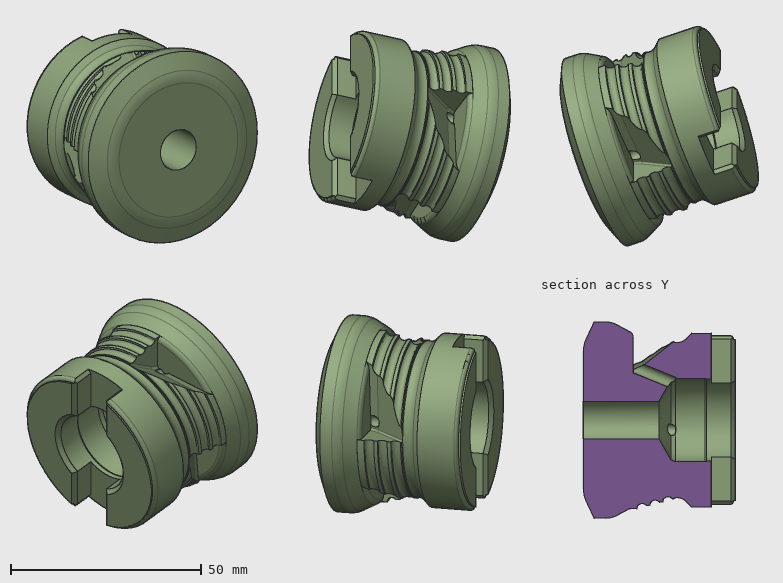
import cadquery as cq
import math


shank_radius = 23.0
face_radius = 22.0
face_step = 0.5
rim_round = shank_radius - face_radius
shank_end = 11.5

taper_end_x = 13.0
taper_end_radius = 21.5
neck_radius = 20.7
neck_mid_x = 14.5
neck_end_x = 16.0

groove_count = 3
groove_start_x = 16.55
groove_start_radius = 20.85
first_land = 0.3
groove_pitch = 3.4
groove_rise = 0.89
groove_width = 2.35
groove_end_rise = 0.3
groove_low_offset = 1.0
groove_low_drop = 0.5
step_run = 0.1
step_rise = 0.8
band_radius = 23.45

total_length = 39.94
crown_radius = 25.98
crown_wall_x = 26.75
crown_corner_radius = 1.8
flank_end_x = 31.2
flank_angle = 28.0
flank_start_x = crown_wall_x + crown_corner_radius * (1 - math.sin(math.radians(flank_angle)))
crown_wall_radius = band_radius - crown_corner_radius * math.cos(math.radians(flank_angle))
rim_end_x = 37.1
core_end_x = flank_start_x + 1.0
bevel_end_x = 39.25
bevel_end_radius = 21.4
front_radius = 18.2
bevel_round_mid = (39.76, 19.9)

bore_radius = 22.0 / 2
relief_radius = 22.3 / 2
bore_chamfer = 1.1
relief_start_x = 7.6
relief_taper = 0.3
relief_end_x = 15.75
seat_radius = 10.65
cone_start_x = 16.9
screw_radius = 11.0 / 2
drill_point_angle = 118.0
cone_length = (seat_radius - screw_radius) / math.tan(math.radians(drill_point_angle / 2))

slot_width = 10.3
slot_depth = 6.3
slot_chamfer = 1.1
flare_start_z = 21.25

pocket_count = 4
pocket_start_x = 16.1
pocket_end_x = 27.9
floor_start = 20.45
floor_kink_x = 24.3
floor_kink = 14.05
floor_second_slope = 0.5
floor_tilt = 5.1
wall_start_z = 0.6
wall_slope = 0.054
pocket_round = 0.5

coolant_diameter = 3.0
coolant_x = 25.4
coolant_y = -(floor_kink - floor_second_slope * (coolant_x - floor_kink_x))
coolant_z = -2.5
coolant_angle = 22.0
coolant_outside = 2.0
coolant_inside = 10.0

clearance = 30.0


def make_shank_and_cone():
    """Solid of revolution from the arbor face to the inside of the crown."""
    profile = (
        cq.Workplane("XY")
        .moveTo(0, 0)
        .lineTo(0, face_radius)
        .lineTo(face_step, face_radius)
        .radiusArc((face_step + rim_round, shank_radius), rim_round)
        .lineTo(shank_end, shank_radius)
        .lineTo(taper_end_x, taper_end_radius)
        .threePointArc((neck_mid_x, neck_radius), (neck_end_x, neck_radius))
        .lineTo(groove_start_x - first_land, groove_start_radius)
    )
    for i in range(groove_count):
        x = groove_start_x + i * groove_pitch
        r = groove_start_radius + i * groove_rise
        profile = (
            profile.lineTo(x, r)
            .threePointArc(
                (x + groove_low_offset, r - groove_low_drop),
                (x + groove_width, r + groove_end_rise),
            )
            .lineTo(x + groove_width + step_run, r + step_rise)
        )
    profile = (
        profile.lineTo(core_end_x, band_radius)
        .lineTo(core_end_x, 0)
        .close()
    )
    return profile.revolve(360, (0, 0, 0), (1, 0, 0))


def make_crown():
    """Full ring of revolution swept by the cutting edges."""
    flank_run = flank_end_x - flank_start_x
    flank_end_radius = band_radius + flank_run * math.tan(math.radians(flank_angle))
    rim_arc_radius = (crown_radius - flank_end_radius) / (1 - math.cos(math.radians(flank_angle)))
    rim_start_x = flank_end_x + rim_arc_radius * math.sin(math.radians(flank_angle))
    return (
        cq.Workplane("XY")
        .moveTo(crown_wall_x, 0)
        .lineTo(crown_wall_x, crown_wall_radius)
        .radiusArc((flank_start_x, band_radius), crown_corner_radius)
        .lineTo(flank_end_x, flank_end_radius)
        .tangentArcPoint((rim_start_x, crown_radius), relative=False)
        .lineTo(rim_end_x, crown_radius)
        .lineTo(bevel_end_x, bevel_end_radius)
        .threePointArc(bevel_round_mid, (total_length, front_radius))
        .lineTo(total_length, 0)
        .close()
        .revolve(360, (0, 0, 0), (1, 0, 0))
    )


def make_pocket():
    """Chip pocket on the -Y side: an inclined floor and one side wall."""
    floor_end = floor_kink - floor_second_slope * (pocket_end_x - floor_kink_x)
    block = (
        cq.Workplane("XY", origin=(0, 0, -clearance))
        .polyline([
            (pocket_start_x, -clearance),
            (pocket_start_x, -floor_start),
            (floor_kink_x, -floor_kink),
            (pocket_end_x, -floor_end),
            (pocket_end_x, -clearance),
        ])
        .close()
        .extrude(2 * clearance)
        .rotate((0, 0, 0), (1, 0, 0), -floor_tilt)
    )
    wall_end_z = wall_start_z - wall_slope * (pocket_end_x - pocket_start_x)
    below_wall = (
        cq.Workplane("XZ")
        .polyline([
            (pocket_start_x, -clearance),
            (pocket_start_x, wall_start_z),
            (pocket_end_x, wall_end_z),
            (pocket_end_x, -clearance),
        ])
        .close()
        .extrude(clearance)
    )
    floor_corner = cq.selectors.BoxSelector(
        (pocket_start_x, -floor_start - pocket_round, wall_end_z - pocket_round),
        (pocket_end_x, -floor_end + pocket_round, wall_start_z + pocket_round),
    )
    wedge = block.intersect(below_wall)
    return wedge.edges(floor_corner).edges("not #Z").edges("not |Y").fillet(pocket_round)


def make_bore():
    """Stepped arbor bore, conical floor and the screw hole through the front."""
    return (
        cq.Workplane("XY")
        .moveTo(0, 0)
        .lineTo(0, bore_radius + bore_chamfer)
        .lineTo(bore_chamfer, bore_radius)
        .lineTo(relief_start_x, bore_radius)
        .lineTo(relief_start_x + relief_taper, relief_radius)
        .lineTo(relief_end_x, relief_radius)
        .lineTo(cone_start_x, seat_radius)
        .lineTo(cone_start_x + cone_length, screw_radius)
        .lineTo(total_length, screw_radius)
        .lineTo(total_length, 0)
        .close()
        .revolve(360, (0, 0, 0), (1, 0, 0))
    )


def make_slot():
    """Driving slot along Z with chamfered face edges and flared ends."""
    half = slot_width / 2
    channel = (
        cq.Workplane("XY", origin=(0, 0, -clearance))
        .polyline([
            (0, half + slot_chamfer),
            (slot_chamfer, half),
            (slot_depth, half),
            (slot_depth, -half),
            (slot_chamfer, -half),
            (0, -half - slot_chamfer),
        ])
        .close()
        .extrude(2 * clearance)
    )
    flare_run = clearance - flare_start_z
    flare = (
        cq.Workplane("YZ")
        .polyline([
            (half, flare_start_z),
            (half + flare_run, clearance),
            (-half - flare_run, clearance),
            (-half, flare_start_z),
        ])
        .close()
        .extrude(slot_depth)
    )
    return channel.union(flare).union(flare.mirror("XY"))


def make_coolant_hole():
    """Coolant hole slanting from the bore floor out to the pocket floor."""
    angle = math.radians(coolant_angle)
    inward = cq.Vector(-math.cos(angle), math.sin(angle), 0)
    mouth = cq.Vector(coolant_x, coolant_y, coolant_z)
    return cq.Workplane(
        cq.Solid.makeCylinder(
            coolant_diameter / 2,
            coolant_outside + coolant_inside,
            mouth - inward * coolant_outside,
            inward,
        )
    )


def around_axis(shape):
    """Copies of a shape at every pocket position around X."""
    step = 360 / pocket_count
    return [shape.rotate((0, 0, 0), (1, 0, 0), i * step) for i in range(pocket_count)]


body = make_shank_and_cone()
for pocket in around_axis(make_pocket()):
    body = body.cut(pocket)
for hole in around_axis(make_coolant_hole()):
    body = body.cut(hole)
body = body.union(make_crown())
body = body.cut(make_bore()).cut(make_slot())
result = cq.Workplane(body.solids().val())